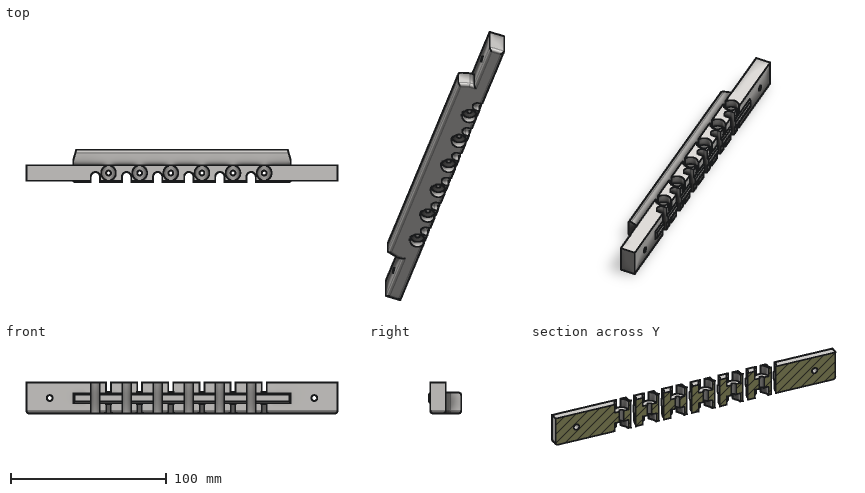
import cadquery as cq

BAR_LENGTH = 200.0
BAR_DEPTH = 10.0
BAR_HEIGHT = 20.0
MID_HEIGHT = BAR_HEIGHT / 2

BLOCK_LENGTH = 140.0
BLOCK_DEPTH = 10.0
BLOCK_HEIGHT = 13.5
BLOCK_STRAIGHT_DEPTH = 3.0
BLOCK_END_TAPER = 2.0
EDGE_RADIUS = 2.0

RAIL_LENGTH = BLOCK_LENGTH
RAIL_HEIGHT = 6.5
RAIL_DEPTH = 1.0

STATION_COUNT = 6
STATION_PITCH = 20.0
FIRST_GROOVE_X = 44.5
GROOVE_WIDTH = 5.8
GROOVE_DEPTH = 5.5
FIRST_HOLE_X = 52.8
HOLE_DIAMETER = 3.0
COUNTERBORE_DIAMETER = 9.5
COUNTERBORE_DEPTH = 6.0
OPENING_WIDTH = 3.0

MOUNT_HOLE_DIAMETER = 3.5
MOUNT_HOLE_INSET = 15.0

BLOCK_START = (BAR_LENGTH - BLOCK_LENGTH) / 2
BLOCK_END = BLOCK_START + BLOCK_LENGTH
REAR_Y = BAR_DEPTH + BLOCK_DEPTH
TAPER_Y = BAR_DEPTH + BLOCK_STRAIGHT_DEPTH


def make_body():
    """Bar and backing block, rounded along the bottom outline and top rear edge."""
    bar = cq.Workplane("XY").box(BAR_LENGTH, BAR_DEPTH, BAR_HEIGHT, centered=False)
    block = (
        cq.Workplane("XY")
        .moveTo(BLOCK_START, 0)
        .lineTo(BLOCK_START, TAPER_Y)
        .lineTo(BLOCK_START + BLOCK_END_TAPER, REAR_Y)
        .lineTo(BLOCK_END - BLOCK_END_TAPER, REAR_Y)
        .lineTo(BLOCK_END, TAPER_Y)
        .lineTo(BLOCK_END, 0)
        .close()
        .extrude(BLOCK_HEIGHT)
    )
    body = bar.union(block).clean()
    body = body.faces(">Y").edges(">Z").fillet(EDGE_RADIUS)
    return body.faces("<Z").edges().fillet(EDGE_RADIUS)


def make_rail():
    """Low rail whose four sides slope in at 45 degrees to its front face."""
    embedded_depth = BAR_DEPTH / 2
    rail = cq.Workplane("XY").box(
        RAIL_LENGTH,
        embedded_depth + RAIL_DEPTH,
        RAIL_HEIGHT,
        centered=(True, False, True),
    )
    rail = rail.faces("<Y").chamfer(RAIL_DEPTH)
    return rail.translate((BAR_LENGTH / 2, -RAIL_DEPTH, MID_HEIGHT))


def make_groove(x):
    """Round-bottomed groove running the full height of the front face."""
    radius = GROOVE_WIDTH / 2
    round_y = GROOVE_DEPTH - radius
    return (
        cq.Workplane("XY")
        .moveTo(x - radius, -RAIL_DEPTH)
        .lineTo(x - radius, round_y)
        .threePointArc((x, GROOVE_DEPTH), (x + radius, round_y))
        .lineTo(x + radius, -RAIL_DEPTH)
        .close()
        .extrude(BAR_HEIGHT)
    )


def make_pocket(x, bottom):
    """Counterbore with a narrow opening through the front and rear faces of the bar."""
    center = cq.Workplane("XY", origin=(x, BAR_DEPTH / 2, bottom))
    counterbore = center.circle(COUNTERBORE_DIAMETER / 2).extrude(COUNTERBORE_DEPTH)
    opening = center.rect(OPENING_WIDTH, BAR_DEPTH).extrude(COUNTERBORE_DEPTH)
    return counterbore.union(opening)


def make_pocketed_hole(x):
    """Upright through hole with an open-sided counterbore at its top and bottom."""
    center = cq.Workplane("XY", origin=(x, BAR_DEPTH / 2, 0))
    hole = center.circle(HOLE_DIAMETER / 2).extrude(BAR_HEIGHT)
    return hole.union(make_pocket(x, 0)).union(make_pocket(x, BAR_HEIGHT - COUNTERBORE_DEPTH))


def make_mount_hole(x):
    """Hole through the bar from front to back at mid height."""
    start = cq.Workplane("XZ", origin=(x, BAR_DEPTH, MID_HEIGHT))
    return start.circle(MOUNT_HOLE_DIAMETER / 2).extrude(BAR_DEPTH)


result = make_body().union(make_rail())

for station in range(STATION_COUNT):
    offset = station * STATION_PITCH
    result = result.cut(make_groove(FIRST_GROOVE_X + offset))
    result = result.cut(make_pocketed_hole(FIRST_HOLE_X + offset))

for mount_x in (MOUNT_HOLE_INSET, BAR_LENGTH - MOUNT_HOLE_INSET):
    result = result.cut(make_mount_hole(mount_x))